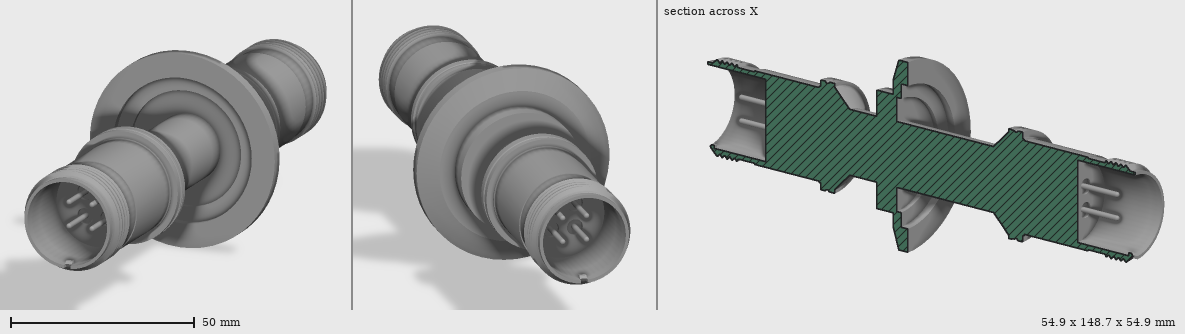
import cadquery as cq

total_length = 148.72
half_length = total_length / 2

flange_radius = 54.89 / 2
flange_face = 69.7
flange_rim_width = 3.3
flange_taper_width = 1.9
flange_taper_small_radius = 21.5
hub_radius = 17.15
hub_start = 58.7
recess_radius = 20.6
recess_depth = 2.4
inner_recess_radius = 16.4
inner_recess_depth = 1.5
tube_radius = 9.57

lip_radius = 12.7
lip_length = 1.8
thread_crest_radius = 14.1
thread_root_radius = 13.2
thread_first_crest = 3.3
thread_pitch = 1.72
thread_crest_count = 5
relief_radius = 13.25
relief_end = 16.3
barrel_radius = 13.57
collar_foot_radius = 14.0
collar_foot_start = 38.6
collar_radius = 15.9
collar_start = 39.15
collar_end = 44.2
groove_bottom_radius = 15.4
groove_start = 41.0
groove_end = 42.1
near_collar_step_radius = 15.7
near_collar_step_end = 43.0
cone_large_radius = 14.85
cone_end = 49.4

bore_radius = 11.8
bore_depth = 20.0
notch_width = 2.0
notch_depth = 1.8
key_top_radius = 10.9
key_nose_radius = 11.6
key_nose_depth = 0.8
key_shoulder_depth = 1.4
key_end_depth = 2.4
pin_radius = 0.75
pin_tip_depth = 8.4
pin_offset = 3.4
pin_well_radius = 2.25
pin_well_depth = 1.0


def revolve_about_y(profile):
    """Turn a closed (radius, y) outline about the Y axis."""
    outline = cq.Workplane("XY").polyline(profile).close()
    return outline.revolve(360, (0, 0, 0), (0, 1, 0))


def cylinder(radius, y_start, length, x=0, z=0):
    """Cylinder along +Y starting at y_start."""
    base = cq.Vector(x, y_start, z)
    return cq.Workplane(cq.Solid.makeCylinder(radius, length, base, cq.Vector(0, 1, 0)))


def thread_outline():
    """(radius, distance) points of the V-shaped thread rings."""
    points = []
    for index in range(thread_crest_count):
        crest = thread_first_crest + index * thread_pitch
        points.append((thread_crest_radius, crest))
        points.append((thread_root_radius, crest + thread_pitch / 2))
    points[-1] = (relief_radius, crest + thread_pitch / 4)
    return points


def connector_shell():
    """Solid outside shape of the -Y connector, from its open end to the small end of its cone."""
    before_groove = [(0, 0), (lip_radius, 0), (lip_radius, lip_length)]
    before_groove += thread_outline()
    before_groove += [
        (relief_radius, relief_end),
        (barrel_radius, relief_end),
        (barrel_radius, collar_foot_start),
        (collar_foot_radius, collar_foot_start),
        (collar_foot_radius, collar_start),
        (collar_radius, collar_start),
        (collar_radius, groove_start),
    ]
    after_groove = [
        (collar_radius, collar_end),
        (cone_large_radius, collar_end),
        (tube_radius, cone_end),
        (0, cone_end),
    ]
    groove_bottom = (groove_bottom_radius, (groove_start + groove_end) / 2 - half_length)
    groove_far_edge = (collar_radius, groove_end - half_length)

    outline = cq.Workplane("XY").polyline(from_open_end(before_groove))
    outline = outline.threePointArc(groove_bottom, groove_far_edge)
    for point in from_open_end(after_groove):
        outline = outline.lineTo(*point)
    return outline.close().revolve(360, (0, 0, 0), (0, 1, 0))


def from_open_end(points):
    """Convert (radius, distance from the -Y end) points to (radius, y)."""
    return [(radius, distance - half_length) for radius, distance in points]


def pin_places():
    """(x, z) centres of the four pins on a square."""
    return [(x, z) for x in (-pin_offset, pin_offset) for z in (-pin_offset, pin_offset)]


def socket_cavity():
    """Bore of the -Y connector with a well around each pin."""
    floor = bore_depth - half_length
    cavity = cylinder(bore_radius, -half_length, bore_depth)
    for x, z in pin_places():
        cavity = cavity.union(cylinder(pin_well_radius, floor, pin_well_depth, x, z))
    return cavity


def key_notch():
    """Notch through the bottom of the lip, open at the mouth."""
    lip_middle = (bore_radius + lip_radius) / 2
    notch_height = 2 * (lip_radius - bore_radius)
    notch = cq.Workplane("XY").box(notch_width, notch_depth, notch_height, centered=(True, False, True))
    return notch.translate((0, -half_length, -lip_middle))


def key():
    """Wedge-nosed locating key set in the notch and rising into the bore."""
    side = [
        (key_nose_depth - half_length, -key_nose_radius),
        (key_shoulder_depth - half_length, -key_top_radius),
        (key_end_depth - half_length, -key_top_radius),
        (key_end_depth - half_length, -lip_radius),
        (notch_depth - half_length, -lip_radius),
    ]
    return cq.Workplane("YZ").polyline(side).close().extrude(notch_width / 2, both=True)


def pin(x, z):
    """Contact pin with a hemispherical tip."""
    tip_centre = pin_tip_depth + pin_radius - half_length
    root = bore_depth + pin_well_depth - half_length
    tip = cq.Workplane("XY").sphere(pin_radius).translate((x, tip_centre, z))
    return cylinder(pin_radius, tip_centre, root - tip_centre, x, z).union(tip)


def connector():
    """Complete -Y connector."""
    body = connector_shell().cut(socket_cavity()).cut(key_notch()).union(key())
    for x, z in pin_places():
        body = body.union(pin(x, z))
    return body


def near_collar_step():
    """Ring to remove from the -Y collar so that it steps down beside its groove."""
    step_start = groove_end - half_length
    step_width = near_collar_step_end - groove_end
    step_core = cylinder(near_collar_step_radius, step_start, step_width)
    return cylinder(collar_radius, step_start, step_width).cut(step_core)


def mounting_flange():
    """Tapered flange with a hub on its +Y side and a stepped recess in its -Y face."""
    face = half_length - flange_face
    rim_back = face + flange_rim_width
    taper_back = rim_back + flange_taper_width
    hub_back = half_length - hub_start
    recess_floor = face + recess_depth
    inner_floor = recess_floor + inner_recess_depth
    return revolve_about_y([
        (0, inner_floor),
        (inner_recess_radius, inner_floor),
        (inner_recess_radius, recess_floor),
        (recess_radius, recess_floor),
        (recess_radius, face),
        (flange_radius, face),
        (flange_radius, rim_back),
        (flange_taper_small_radius, taper_back),
        (hub_radius, taper_back),
        (hub_radius, hub_back),
        (0, hub_back),
    ])


near_connector = connector()
far_connector = near_connector.mirror("XZ")
near_connector = near_connector.cut(near_collar_step())
tube = cylinder(tube_radius, cone_end - half_length, total_length - 2 * cone_end)

result = tube.union(mounting_flange()).union(near_connector).union(far_connector)